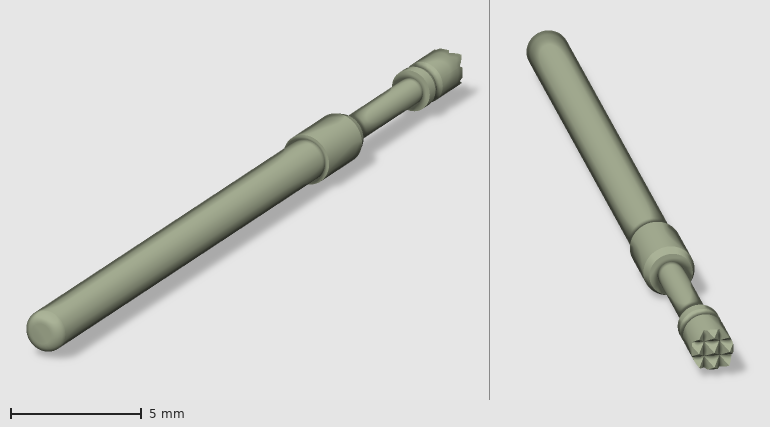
import cadquery as cq
import math


barrel_radius = 0.825
barrel_length = 21.0
barrel_end_fillet = 0.4
collar_radius = 1.0
collar_length = 3.0
collar_taper_length = 0.4
collar_top_radius = 0.85

plunger_radius = 0.525
plunger_exposed_length = 5.3
head_radius = 0.825
head_length = 3.0
head_flange_length = 0.45
groove_width = 0.58
groove_depth = 0.12

points_per_row = 3
point_pitch = 0.6
point_flank_angle = 30.0

collar_top = collar_length
head_bottom = collar_top + plunger_exposed_length
tip = head_bottom + head_length
point_depth = point_pitch / 2 / math.tan(math.radians(point_flank_angle))


def turned_rod(radius, bottom, top):
    """Plain cylinder along Y."""
    return cq.Workplane("XZ", origin=(0, bottom, 0)).circle(radius).extrude(bottom - top)


def revolved(profile):
    """Solid of revolution about Y from (radius, y) points."""
    return cq.Workplane("XY").polyline(profile).close().revolve(360, (0, 0, 0), (0, 1, 0))


def make_barrel():
    barrel = turned_rod(barrel_radius, -barrel_length, 0)
    return barrel.faces("<Y").edges().fillet(barrel_end_fillet)


def make_collar():
    return revolved([
        (0, 0),
        (collar_radius, 0),
        (collar_radius, collar_top - collar_taper_length),
        (collar_top_radius, collar_top),
        (0, collar_top),
    ])


def make_head():
    """Head with a V groove around it, just above its lower flange."""
    groove_bottom = head_bottom + head_flange_length
    return revolved([
        (0, head_bottom),
        (head_radius, head_bottom),
        (head_radius, groove_bottom),
        (head_radius - groove_depth, groove_bottom + groove_width / 2),
        (head_radius, groove_bottom + groove_width),
        (head_radius, tip),
        (0, tip),
    ])


def make_crown_grooves():
    """V grooves between and outside the rows of points, running along Z and along X."""
    groove_count = points_per_row + 1
    grooves = cq.Workplane("XY")
    for index in range(groove_count):
        center = (index - (groove_count - 1) / 2) * point_pitch
        groove = (
            cq.Workplane("XY")
            .moveTo(center - point_pitch / 2, tip)
            .lineTo(center, tip - point_depth)
            .lineTo(center + point_pitch / 2, tip)
            .close()
            .extrude(2 * head_radius, both=True)
        )
        grooves = grooves.add(groove).add(groove.rotate((0, 0, 0), (0, 1, 0), 90))
    return grooves.vals()


head = make_head()
for groove in make_crown_grooves():
    head = head.cut(cq.Workplane(groove))

plunger = turned_rod(plunger_radius, collar_top, head_bottom)
result = make_barrel().union(make_collar()).union(plunger).union(head)